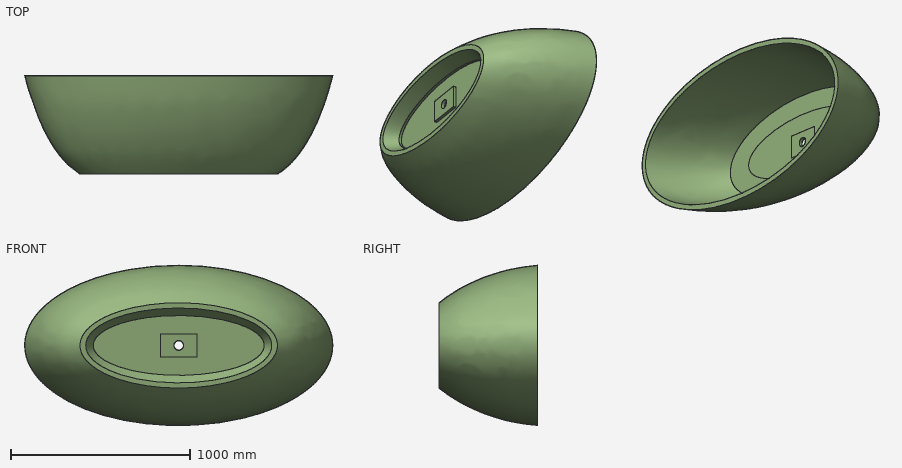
import math

import cadquery as cq


HEIGHT = 550.0
BASE_X, RIM_X = 551.0, 860.0
BASE_Z, RIM_Z = 238.0, 447.5

ARC_CENTRE_X, ARC_REACH_X = 1145.0, 1180.0
ARC_CENTRE_Z, ARC_REACH_Z = 638.0, 902.0

SHELL_SECTIONS = 9

WALL = 30.0
FLOOR_THICKNESS = 5.0

FOOT_WIDTH_X = 32.0
FOOT_WIDTH_Z = 29.0
RECESS_TAPER_DEPTH = 80.0
RECESS_TAPER_INSET = 42.0
RECESS_STEP_DEPTH = 15.0

PLATE_X = 202.0
PLATE_Z = 130.0
PLATE_HEIGHT = RECESS_STEP_DEPTH
DRAIN_DIAMETER = 52.0

RECESS_DEPTH = RECESS_TAPER_DEPTH + RECESS_STEP_DEPTH
BASIN_FLOOR = RECESS_DEPTH + FLOOR_THICKNESS


def plane_at(y):
    """Workplane at height y whose normal points up the tub (+Y), local x along X."""
    return cq.Workplane(cq.Plane(origin=(0, y, 0), xDir=(1, 0, 0), normal=(0, 1, 0)))


def arc_half_width(y, base, rim, centre, reach):
    """Half width at height y on an elliptical arc running from the base to the rim."""

    def bulge(height):
        return math.sqrt(1 - ((height - centre) / reach) ** 2)

    fraction = (bulge(y) - bulge(0)) / (bulge(HEIGHT) - bulge(0))
    return base + (rim - base) * fraction


def oval_wire(y, half_x, half_z):
    """Elliptical wire at height y."""
    return plane_at(y).ellipse(half_x, half_z).val()


def oval_body(bottom, inset):
    """Bowl-shaped solid from height `bottom` to the rim, set in sideways from the outer shell."""
    sections = []
    for index in range(SHELL_SECTIONS):
        fraction = index / (SHELL_SECTIONS - 1)
        y = bottom + (HEIGHT - bottom) * fraction**2
        half_x = arc_half_width(y, BASE_X, RIM_X, ARC_CENTRE_X, ARC_REACH_X) - inset
        half_z = arc_half_width(y, BASE_Z, RIM_Z, ARC_CENTRE_Z, ARC_REACH_Z) - inset
        sections.append(oval_wire(y, half_x, half_z))
    return cq.Workplane(cq.Solid.makeLoft(sections))


def base_recess():
    """Recess in the underside: a tapering oval followed by a shallow straight step."""
    mouth_x = BASE_X - FOOT_WIDTH_X
    mouth_z = BASE_Z - FOOT_WIDTH_Z
    floor_x = mouth_x - RECESS_TAPER_INSET
    floor_z = mouth_z - RECESS_TAPER_INSET
    mouth = oval_wire(0, mouth_x, mouth_z)
    taper_end = oval_wire(RECESS_TAPER_DEPTH, floor_x, floor_z)
    taper = cq.Workplane(cq.Solid.makeLoft([mouth, taper_end], True))
    step = plane_at(RECESS_TAPER_DEPTH).ellipse(floor_x, floor_z).extrude(RECESS_STEP_DEPTH)
    return taper.union(step)


def drain_plate():
    """Rectangular plate standing proud of the recess floor."""
    return plane_at(RECESS_DEPTH - PLATE_HEIGHT).rect(PLATE_X, PLATE_Z).extrude(PLATE_HEIGHT)


def drain_hole():
    """Round hole through the tub along its height."""
    return plane_at(0).circle(DRAIN_DIAMETER / 2).extrude(HEIGHT)


shell = oval_body(0, 0).cut(oval_body(BASIN_FLOOR, WALL))
result = shell.cut(base_recess()).union(drain_plate()).cut(drain_hole())